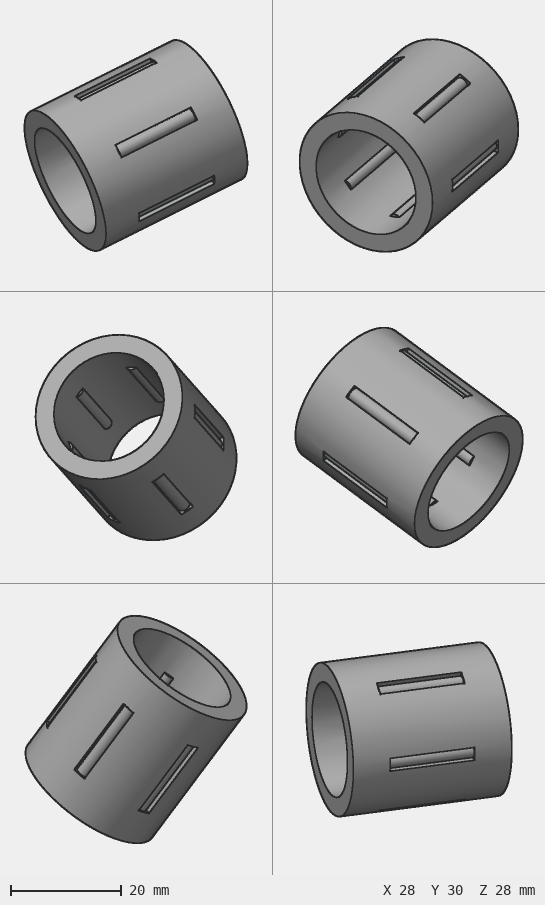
import cadquery as cq

length = 30.0
outer_radius = 42 / 3
bore_radius = 10.5

pair_count = 6
roller_radius = 1.25
roller_length = 16.0
outer_axis_radius = 12.4
inner_axis_radius = 11.25
inner_lag_angle = 20.0
slot_overshoot = 1.5


def along_y(profile, span):
    """Extrude an XZ profile symmetrically about the middle of the sleeve."""
    return profile.extrude(span / 2, both=True)


def place(body, angle):
    """Turn a body from the +X direction towards +Z."""
    return body.rotate((0, 0, 0), (0, 1, 0), -angle)


def roller(axis_radius):
    profile = cq.Workplane("XZ").center(axis_radius, 0).circle(roller_radius)
    return along_y(profile, roller_length)


def outer_slot():
    """Radial slot from the roller axis out through the outer face."""
    depth = outer_radius + slot_overshoot - outer_axis_radius
    middle = outer_axis_radius + depth / 2
    profile = cq.Workplane("XZ").center(middle, 0).rect(depth, 2 * roller_radius)
    return along_y(profile, roller_length)


result = along_y(cq.Workplane("XZ").circle(outer_radius).circle(bore_radius), length)

for index in range(pair_count):
    angle = index * 360 / pair_count
    result = result.cut(place(outer_slot(), angle))
    result = result.union(place(roller(outer_axis_radius), angle))
    result = result.union(place(roller(inner_axis_radius), angle - inner_lag_angle))